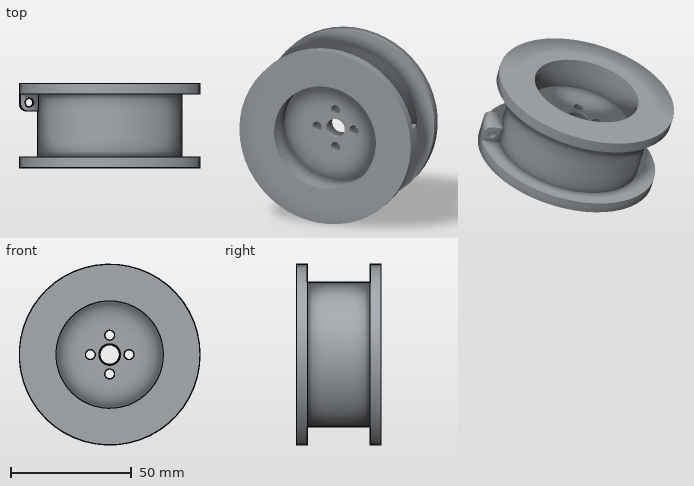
import cadquery as cq

flange_diameter = 75
drum_diameter = 60
flange_thickness = 4.5
width = 35.0
half_width = width / 2

pocket_diameter = 44.55
web_thickness = 8.0

bore_diameter = 8.0
bore_chamfer = 0.45
bolt_hole_diameter = 4.0
bolt_circle_diameter = 16.05
bolt_count = 4

lug_width = 7.0
lug_angle = 20
lug_round = 3
lug_hole_diameter = 3.5


def disc(diameter, y_start, y_end):
    """Cylinder on the Y axis between two Y positions."""
    return cq.Workplane("XZ", origin=(0, y_start, 0)).circle(diameter / 2).extrude(y_start - y_end)


def make_spool():
    """Solid drum and flanges, revolved from their half section."""
    flange_radius = flange_diameter / 2
    drum_radius = drum_diameter / 2
    flange_inner = half_width - flange_thickness
    half_section = [
        (0, -half_width),
        (flange_radius, -half_width),
        (flange_radius, -flange_inner),
        (drum_radius, -flange_inner),
        (drum_radius, flange_inner),
        (flange_radius, flange_inner),
        (flange_radius, half_width),
        (0, half_width),
    ]
    return cq.Workplane("XY").polyline(half_section).close().revolve(360, (0, 0, 0), (0, 1, 0))


def make_lug():
    """Lug with a rounded outer corner, pierced by a curved line hole."""
    overlap = 1.5
    outer = flange_diameter / 2
    inner = drum_diameter / 2
    back = half_width - flange_thickness
    front = back - lug_width

    profile = (
        cq.Workplane("XY")
        .moveTo(-inner + overlap, front)
        .lineTo(-outer + lug_round, front)
        .radiusArc((-outer, front + lug_round), lug_round)
        .lineTo(-outer, back)
        .lineTo(-inner + overlap, back)
        .close()
        .moveTo(-(outer + inner) / 2, (front + back) / 2)
        .circle(lug_hole_diameter / 2)
    )
    lug = profile.revolve(lug_angle, (0, 0, 0), (0, 1, 0))
    return lug.rotate((0, 0, 0), (0, 1, 0), -lug_angle / 2)


def cut_pockets(body):
    web_face = web_thickness / 2
    body = body.cut(disc(pocket_diameter, -half_width, -web_face))
    return body.cut(disc(pocket_diameter, web_face, half_width))


def cut_web_holes(body):
    web_face = web_thickness / 2
    bore = disc(bore_diameter, -web_face, web_face)
    countersink = (
        cq.Workplane("XZ", origin=(0, -web_face, 0))
        .circle(bore_diameter / 2 + bore_chamfer)
        .extrude(-bore_chamfer, taper=45)
    )
    bolt_holes = (
        cq.Workplane("XZ", origin=(0, -web_face, 0))
        .polarArray(bolt_circle_diameter / 2, 0, 360, bolt_count)
        .circle(bolt_hole_diameter / 2)
        .extrude(-web_thickness)
    )
    return body.cut(bore).cut(countersink).cut(bolt_holes)


result = cut_web_holes(cut_pockets(make_spool().union(make_lug())))